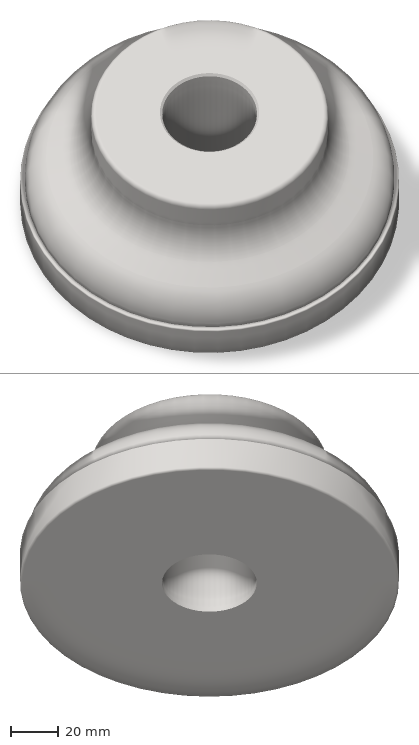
import cadquery as cq
import math

total_height = 63.0

rim_radius = 80.0
rim_height = 16.0
rim_bottom_round = 1.0
rim_top_round = 0.5

skirt_radius = 78.0
collar_radius = 50.0
collar_length = 13.0
collar_round = 2.0
curve_radius = 15.0
shoulder_height = 18.0

bore_radius = 20.0
bore_chamfer = 1.0
sleeve_outer_radius = 30.0
sleeve_top = total_height - 6.7
sleeve_length = 18.7

flare_start = total_height - collar_length
flare_center = (collar_radius + curve_radius, flare_start)
shoulder_center = (skirt_radius - curve_radius, shoulder_height)
center_dx = flare_center[0] - shoulder_center[0]
center_dz = flare_center[1] - shoulder_center[1]
center_distance = math.hypot(center_dx, center_dz)
tangent_angle = math.atan2(center_dz, center_dx) - math.acos(2 * curve_radius / center_distance)


def arc_point(center, angle):
    """Point on a bell curve at the given angle about its center."""
    return (
        center[0] + curve_radius * math.cos(angle),
        center[1] + curve_radius * math.sin(angle),
    )


def make_ring(outer_radius, bottom, height):
    """Ring around the bore axis, as wide inside as the bore."""
    return (
        cq.Workplane("XY", origin=(0, 0, bottom))
        .circle(outer_radius)
        .circle(bore_radius)
        .extrude(height)
    )


def make_rim():
    """Base rim with rounded outer edges."""
    rim = cq.Workplane("XY").circle(rim_radius).extrude(rim_height)
    rim = rim.faces("<Z").edges().fillet(rim_bottom_round)
    return rim.faces(">Z").edges().fillet(rim_top_round)


def make_bell():
    """Skirt, shoulder, flare and collar as one revolved outline."""
    flare_end_angle = tangent_angle + math.pi
    flare_middle_angle = (flare_end_angle + math.pi) / 2
    outline = (
        cq.Workplane("XZ")
        .moveTo(0, rim_height)
        .lineTo(skirt_radius, rim_height)
        .lineTo(skirt_radius, shoulder_height)
        .threePointArc(
            arc_point(shoulder_center, tangent_angle / 2),
            arc_point(shoulder_center, tangent_angle),
        )
        .lineTo(*arc_point(flare_center, flare_end_angle))
        .threePointArc(
            arc_point(flare_center, flare_middle_angle),
            (collar_radius, flare_start),
        )
        .lineTo(collar_radius, total_height)
        .lineTo(0, total_height)
        .close()
    )
    bell = outline.revolve(360, (0, 0, 0), (0, 1, 0))
    return bell.faces(">Z").edges().fillet(collar_round)


def make_sleeve():
    """Plain sleeve whose inner wall is part of the bore."""
    return make_ring(sleeve_outer_radius, sleeve_top - sleeve_length, sleeve_length)


def make_housing(sleeve):
    """Rim and bell in one piece, with a through bore and a recess for the sleeve."""
    housing = make_rim().union(make_bell())
    bore = cq.Workplane("XY").circle(bore_radius).extrude(total_height)
    housing = housing.cut(bore)
    housing = housing.faces(">Z").edges("%CIRCLE").edges(
        cq.selectors.RadiusNthSelector(0)
    ).chamfer(bore_chamfer)
    return housing.cut(sleeve)


sleeve = make_sleeve()
housing = make_housing(sleeve)

result = cq.Compound.makeCompound([housing.val(), sleeve.val()])